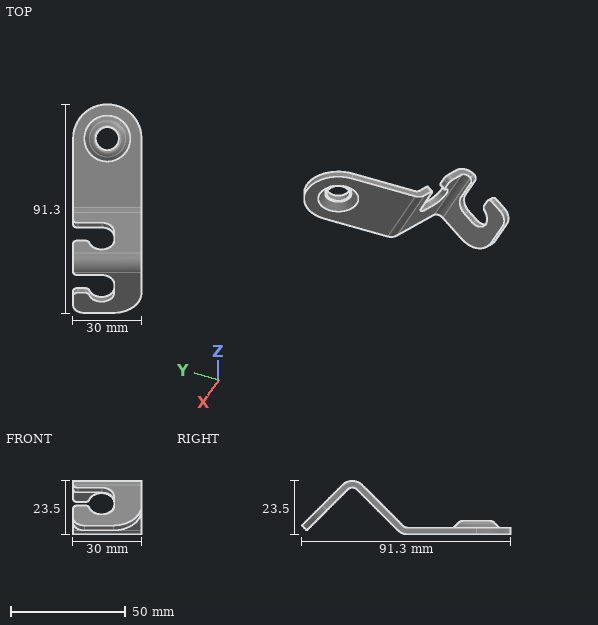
import cadquery as cq
import math

overall_length = 91.3
width = 30.0
thickness = 3.0
bend_inner_radius = 3.0
bend_outer_radius = bend_inner_radius + thickness
bend_angle = 45
end_radius = width / 2
flat_length = width
tip_left_radius = 5.0
tip_right_radius = 12.5

hole_radius = 5.0
seat_radius = 10.0
seat_height = 3.0
seat_edge_radius = thickness
seat_slope = 45

slot_radius = 5.5
slot_straight = 5.5
slot_center_x = -width / 2 + 12.5
slot_corner_radius = 2.0
rise_slot_margin = 2.2
tip_slot_margin = 7.0

sine = math.sin(math.radians(bend_angle))
cosine = math.cos(math.radians(bend_angle))
bends_run = (bend_inner_radius + 2 * bend_outer_radius) * sine
leg_run = (overall_length - end_radius - flat_length - bends_run) / 2
leg_drop = leg_run * sine / cosine

foot_y = -flat_length
foot_z = thickness + bend_inner_radius
rise_start_y = foot_y - bend_inner_radius * sine
rise_start_z = foot_z - bend_inner_radius * cosine
rise_end_y = rise_start_y - leg_run
rise_end_z = rise_start_z + leg_drop
crest_y = rise_end_y - bend_outer_radius * sine
crest_z = rise_end_z - bend_outer_radius * cosine
tip_y = crest_y - bend_outer_radius * sine - leg_run
tip_z = rise_end_z - leg_drop

seat_slope_radians = math.radians(seat_slope)
seat_top_z = thickness + seat_height
seat_arc_drop = seat_edge_radius * (1 - math.cos(seat_slope_radians))
seat_flank_radius = seat_radius - (seat_height - seat_arc_drop) / math.tan(seat_slope_radians)
seat_rim_radius = seat_flank_radius - seat_edge_radius * math.sin(seat_slope_radians)
seat_arc_mid = (
    seat_rim_radius + seat_edge_radius * math.sin(seat_slope_radians / 2),
    seat_top_z - seat_edge_radius * (1 - math.cos(seat_slope_radians / 2)),
)


def around(center_y, center_z, radius, degrees):
    """Point on a bend circle; 0 degrees points to +Y and 90 to +Z."""
    angle = math.radians(degrees)
    return (center_y + radius * math.cos(angle), center_z + radius * math.sin(angle))


def make_strip():
    upper_foot_mid = around(foot_y, foot_z, bend_inner_radius, 270 - bend_angle / 2)
    lower_foot_mid = around(foot_y, foot_z, bend_outer_radius, 270 - bend_angle / 2)
    lower_foot_end = around(foot_y, foot_z, bend_outer_radius, 270 - bend_angle)
    crest_start = around(crest_y, crest_z, bend_inner_radius, 90 - bend_angle)
    crest_end = around(crest_y, crest_z, bend_inner_radius, 90 + bend_angle)
    return (
        cq.Workplane("YZ")
        .moveTo(end_radius, 0)
        .lineTo(end_radius, thickness)
        .lineTo(foot_y, thickness)
        .threePointArc(upper_foot_mid, (rise_start_y, rise_start_z))
        .lineTo(rise_end_y, rise_end_z)
        .threePointArc(
            (crest_y, crest_z + bend_outer_radius),
            around(crest_y, crest_z, bend_outer_radius, 90 + bend_angle),
        )
        .lineTo(tip_y, tip_z)
        .lineTo(tip_y + thickness * sine, tip_z - thickness * cosine)
        .lineTo(*crest_end)
        .threePointArc((crest_y, crest_z + bend_inner_radius), crest_start)
        .lineTo(*lower_foot_end)
        .threePointArc(lower_foot_mid, (foot_y, 0))
        .close()
        .extrude(width / 2, both=True)
    )


def leg_plane(y, z, tilt):
    """Plane on a leg's upper face at (y, z): local +y runs back up the strip, towards the hole."""
    return cq.Plane(origin=(0, y, z), xDir=(1, 0, 0), normal=(0, tilt * sine, cosine))


def round_far_end(strip):
    square_end = cq.Workplane("XY").center(0, end_radius / 2).rect(width, end_radius).extrude(thickness)
    round_end = cq.Workplane("XY").circle(end_radius).extrude(thickness)
    return strip.cut(square_end).union(round_end)


def round_tip_corners(strip):
    tip_edges = cq.selectors.BoxSelector(
        (-width, tip_y - thickness, tip_z - 2 * thickness),
        (width, tip_y + thickness, tip_z + thickness),
    )
    not_crosswise = cq.StringSyntaxSelector("not(|X)")
    corners = strip.edges(tip_edges).edges(not_crosswise)
    strip = corners.edges("<X").fillet(tip_left_radius)
    corners = strip.edges(tip_edges).edges(not_crosswise)
    return corners.edges(">X").fillet(tip_right_radius)


def make_slot(plane):
    """Hook slot cutter; the lowest point of the slot touches the plane's local x axis."""
    left = -width / 2
    lip = slot_radius
    top = lip + slot_straight + slot_radius
    corner = slot_corner_radius
    diagonal = math.sqrt(0.5)

    reach = slot_radius + corner
    nose_x = slot_center_x - math.sqrt(reach**2 - corner**2)
    nose_y = lip - corner
    nose_turn = math.asin(corner / reach)
    join = (slot_center_x - slot_radius * math.cos(nose_turn), lip - slot_radius * math.sin(nose_turn))
    nose_mid_angle = (math.pi / 2 + nose_turn) / 2
    nose_mid = (nose_x + corner * math.cos(nose_mid_angle), nose_y + corner * math.sin(nose_mid_angle))

    upper_bend_mid = (slot_center_x + slot_radius * diagonal, top - slot_radius * (1 - diagonal))
    mouth_near = corner * (1 - diagonal)
    return (
        cq.Workplane(plane)
        .moveTo(left, lip - corner)
        .threePointArc((left + mouth_near, lip - mouth_near), (left + corner, lip))
        .lineTo(nose_x, lip)
        .threePointArc(nose_mid, join)
        .threePointArc((slot_center_x, 0), (slot_center_x + slot_radius, lip))
        .lineTo(slot_center_x + slot_radius, lip + slot_straight)
        .threePointArc(upper_bend_mid, (slot_center_x, top))
        .lineTo(left + corner, top)
        .threePointArc((left + mouth_near, top + mouth_near), (left, top + corner))
        .close()
        .extrude(thickness, both=True)
    )


def make_seat():
    """Outside of the seat: a cone with a rounded upper edge."""
    return (
        cq.Workplane("XZ")
        .moveTo(0, 0)
        .lineTo(seat_radius, 0)
        .lineTo(seat_radius, thickness)
        .lineTo(seat_flank_radius, seat_top_z - seat_arc_drop)
        .threePointArc(seat_arc_mid, (seat_rim_radius, seat_top_z))
        .lineTo(0, seat_top_z)
        .close()
        .revolve(360, (0, 0, 0), (0, 1, 0))
    )


def make_seat_cavity():
    """Hollow under the seat: a cone parallel to the outer flank, one thickness inside it."""
    ceiling_z = seat_top_z - thickness
    bottom_radius = seat_rim_radius + ceiling_z / math.tan(seat_slope_radians)
    return (
        cq.Workplane("XZ")
        .polyline([(0, 0), (bottom_radius, 0), (seat_rim_radius, ceiling_z), (0, ceiling_z)])
        .close()
        .revolve(360, (0, 0, 0), (0, 1, 0))
    )


rise_plane = leg_plane(
    rise_end_y + rise_slot_margin * cosine,
    rise_end_z - rise_slot_margin * sine,
    1,
)
tip_plane = leg_plane(
    tip_y + tip_slot_margin * cosine,
    tip_z + tip_slot_margin * sine,
    -1,
)
hole = cq.Workplane("XY").circle(hole_radius).extrude(seat_top_z)

strip = round_tip_corners(round_far_end(make_strip()))
body = strip.union(make_seat()).cut(make_seat_cavity()).cut(hole)
result = body.cut(make_slot(rise_plane)).cut(make_slot(tip_plane))